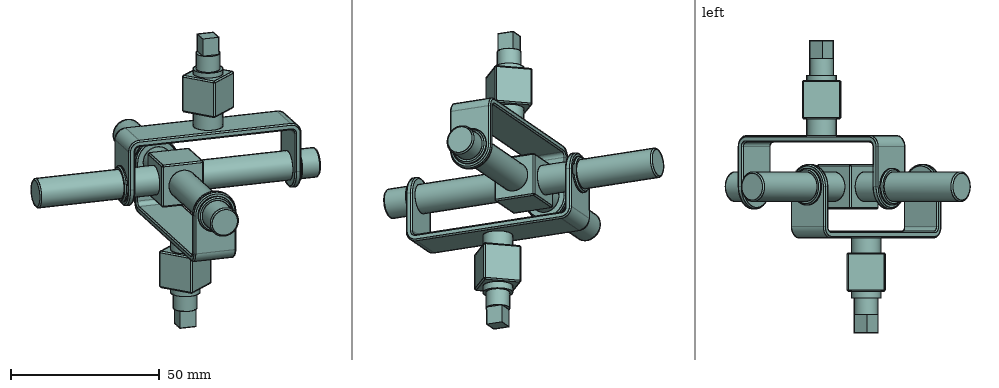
import cadquery as cq

UPPER_ANGLE = 50.0
LOWER_ANGLE = UPPER_ANGLE - 90.0
UPPER_YOKE_OFFSET = 11.5
LOWER_YOKE_OFFSET = 9.6

ARM_RADIUS = 5.0
ARM_LENGTH = 100.1
ARM_CHAMFER = 0.5
HUB_SIZE = 15.0
HUB_CHAMFER = 0.5

STRAP_LENGTH = 61.5
STRAP_WIDTH = HUB_SIZE
STRAP_THICKNESS = 2.3
STRAP_TOP = 17.2
STRAP_BEND_RADIUS = 3.7
STRAP_CHAMFER = 0.5
BOSS_RADIUS = 6.2
BOSS_HEIGHT = 1.0
BOSS_CHAMFER = 0.5

STEM_RADIUS = 5.0
STEM_SHOULDER = 37.5
NECK_RADIUS = 4.0
NECK_TOP = 43.1
STEM_TOP = 49.2

BLOCK_SIZE = 13.0
BLOCK_CHAMFER = 0.5
UPPER_BLOCK_START = 22.8
LOWER_BLOCK_START = 22.2


def make_cross():
    """Square hub with two crossing round arms."""
    hub = cq.Workplane("XY").box(HUB_SIZE, HUB_SIZE, HUB_SIZE).edges().chamfer(HUB_CHAMFER)
    arm = cq.Workplane("YZ").circle(ARM_RADIUS).extrude(ARM_LENGTH / 2, both=True)
    arm = arm.faces("<X or >X").chamfer(ARM_CHAMFER)
    for turn in (0, 90):
        hub = hub.union(arm.rotate((0, 0, 0), (0, 0, 1), turn))
    return hub.rotate((0, 0, 0), (0, 0, 1), UPPER_ANGLE)


def make_strap():
    """U-shaped strap with round leg ends, centred on the stem axis with its legs pointing down."""
    end_radius = STRAP_WIDTH / 2
    height = STRAP_TOP + end_radius
    blank = (
        cq.Workplane("XY")
        .box(STRAP_LENGTH, STRAP_WIDTH, height, centered=(True, True, False))
        .translate((0, 0, -end_radius))
        .edges("|Y and >Z")
        .fillet(STRAP_BEND_RADIUS)
    )
    gap = (
        cq.Workplane("XY")
        .box(STRAP_LENGTH - 2 * STRAP_THICKNESS, STRAP_WIDTH, height, centered=(True, True, False))
        .translate((0, 0, -end_radius - STRAP_THICKNESS))
        .edges("|Y and >Z")
        .fillet(STRAP_BEND_RADIUS - STRAP_THICKNESS)
    )
    leg_outline = (
        cq.Workplane("YZ")
        .moveTo(-end_radius, STRAP_TOP)
        .lineTo(-end_radius, 0)
        .threePointArc((0, -end_radius), (end_radius, 0))
        .lineTo(end_radius, STRAP_TOP)
        .close()
        .extrude(STRAP_LENGTH / 2, both=True)
    )
    strap = blank.cut(gap).intersect(leg_outline)
    rims = strap.edges("not |Y").filter(lambda edge: abs(edge.Center().z) > STRAP_CHAMFER)
    return strap.newObject(rims.vals()).chamfer(STRAP_CHAMFER)


def make_boss(side):
    """Raised ring on the outer face of one leg; side is +1 or -1 along X."""
    boss = cq.Workplane("YZ").circle(BOSS_RADIUS).extrude(BOSS_HEIGHT).faces(">X").chamfer(BOSS_CHAMFER)
    boss = boss.translate((STRAP_LENGTH / 2, 0, 0))
    return boss if side > 0 else boss.mirror("YZ")


def make_stem():
    """Stepped stem ending in a square whose corners lie on the neck's circle."""
    web_middle = STRAP_TOP - STRAP_THICKNESS / 2
    stem = cq.Workplane("XY").workplane(offset=web_middle).circle(STEM_RADIUS)
    stem = stem.extrude(STEM_SHOULDER - web_middle)
    stem = stem.faces(">Z").workplane().circle(NECK_RADIUS).extrude(NECK_TOP - STEM_SHOULDER)
    square_side = NECK_RADIUS * 2 ** 0.5
    return stem.faces(">Z").workplane().rect(square_side, square_side).extrude(STEM_TOP - NECK_TOP)


def make_yoke():
    """Strap, leg bosses and stem as one solid, bored for the arm."""
    yoke = make_strap().union(make_stem())
    for side in (-1, 1):
        yoke = yoke.union(make_boss(side))
    bore = cq.Workplane("YZ").circle(ARM_RADIUS).extrude(STRAP_LENGTH, both=True)
    return yoke.cut(bore)


def make_block(start, stem_angle):
    """Bearing block bored for the stem, turned back by stem_angle so it ends up square to X and Y."""
    block = cq.Workplane("XY").box(BLOCK_SIZE, BLOCK_SIZE, BLOCK_SIZE).edges().chamfer(BLOCK_CHAMFER)
    block = block.faces(">Z").workplane().circle(STEM_RADIUS).cutThruAll()
    return block.translate((0, 0, start + BLOCK_SIZE / 2)).rotate((0, 0, 0), (0, 0, 1), -stem_angle)


def place_above(body):
    """Set a body on the upper arm."""
    return body.translate((UPPER_YOKE_OFFSET, 0, 0)).rotate((0, 0, 0), (0, 0, 1), UPPER_ANGLE)


def place_below(body):
    """Turn a body upside down and set it on the lower arm."""
    flipped = body.mirror("XY").translate((LOWER_YOKE_OFFSET, 0, 0))
    return flipped.rotate((0, 0, 0), (0, 0, 1), LOWER_ANGLE)


cross = make_cross()
upper_yoke = place_above(make_yoke())
lower_yoke = place_below(make_yoke())
upper_block = place_above(make_block(UPPER_BLOCK_START, UPPER_ANGLE))
lower_block = place_below(make_block(LOWER_BLOCK_START, LOWER_ANGLE))

result = cq.Compound.makeCompound(
    [body.val() for body in (cross, upper_yoke, lower_yoke, upper_block, lower_block)]
)